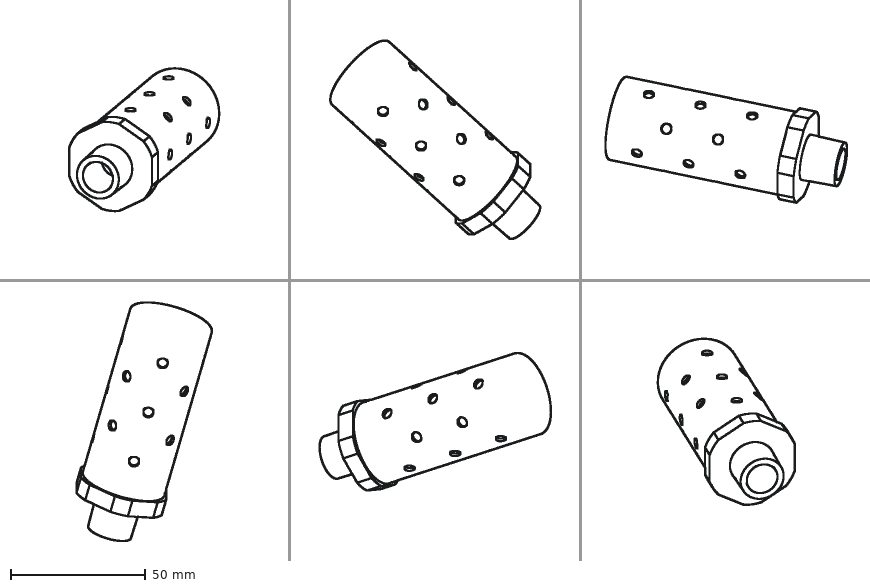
import cadquery as cq


nipple_length = 13.46
nipple_root_diameter = 17.3
nipple_tip_diameter = 16.7
bore_diameter = 11.94

hex_across_flats = 33.02
hex_corner_diameter = 34.89
hex_thickness = 6.35

body_diameter = 31.75
body_length = 67.31
end_fillet_radius = 0.8

hole_diameter = 3.81
hole_depth = 1.27
hole_pitch = 20.1
hole_end_distance = 12.45
row_count = 8
holes_in_full_row = 3

body_radius = body_diameter / 2
body_end = hex_thickness + body_length
bore_depth = nipple_length + hex_thickness


def make_nipple_and_body():
    """Revolved nipple and body, with a rounded edge at the body's closed end."""
    half_section = (
        cq.Workplane("YZ")
        .moveTo(-nipple_length, 0)
        .lineTo(-nipple_length, nipple_tip_diameter / 2)
        .lineTo(0, nipple_root_diameter / 2)
        .lineTo(hex_thickness, nipple_root_diameter / 2)
        .lineTo(hex_thickness, body_radius)
        .lineTo(body_end, body_radius)
        .lineTo(body_end, 0)
        .close()
    )
    turned = half_section.revolve(360, (0, 0), (1, 0))
    return turned.faces(">Y").edges().fillet(end_fillet_radius)


def make_hexagon():
    """Hexagon with flats facing +X and -X, its corners turned round about the Y axis."""
    blank = cq.Workplane("XZ").circle(hex_corner_diameter / 2).extrude(-hex_thickness)
    prism = (
        cq.Workplane("XZ")
        .polygon(6, hex_across_flats, circumscribed=True)
        .extrude(-hex_thickness)
    )
    return prism.intersect(blank)


def make_bore():
    """Cutter for the blind bore that runs through the nipple and the hexagon."""
    return cq.Workplane("XZ", origin=(0, -nipple_length, 0)).circle(bore_diameter / 2).extrude(-bore_depth)


def make_hole_row(hole_count, last_hole, angle):
    """Cutters for one row of flat-bottomed holes, turned about Y from the +Z side."""
    centres = [(0, last_hole - index * hole_pitch) for index in range(hole_count)]
    return (
        cq.Workplane("XY", origin=(0, 0, body_radius - hole_depth))
        .pushPoints(centres)
        .circle(hole_diameter / 2)
        .extrude(2 * hole_depth)
        .rotate((0, 0, 0), (0, 1, 0), angle)
    )


result = make_nipple_and_body().union(make_hexagon()).cut(make_bore())

last_full_row_hole = body_end - hole_end_distance
for row in range(row_count):
    angle = row * 360 / row_count
    if row % 2 == 0:
        hole_row = make_hole_row(holes_in_full_row, last_full_row_hole, angle)
    else:
        hole_row = make_hole_row(holes_in_full_row - 1, last_full_row_hole - hole_pitch / 2, angle)
    result = result.cut(hole_row)